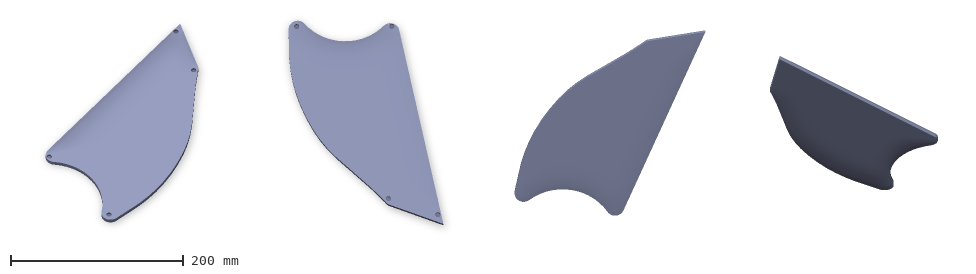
import cadquery as cq
import math

thickness = 5.0
length = 278.2
width = 133.45

round_radius = 10.5
left_round = (round_radius, 36.0)
right_round = (114.5, round_radius)
concave_radius = 62.0

slope_end = (56.0, 242.1)
shoulder_middle = (58.4, 239.9)
shoulder_end = (60.0, 236.9)
shoulder_direction = (1.0, -1.7)

side_points = [
    (71.5, 218.7),
    (89.0, 193.6),
    (113.0, 157.3),
    (128.8, 112.0),
    (width, 73.0),
    (131.2, 41.0),
]
side_end_angle = -10.0

hole_diameter = 6.0
hole_depth = thickness / 2
hole_centers = [(3.9, 265.9), (55.7, 234.7), (7.3, 30.0), (115.0, 7.1)]


def on_circle(center, radius, angle):
    """Point on a circle at an angle in radians from +X."""
    return (center[0] + radius * math.cos(angle), center[1] + radius * math.sin(angle))


def concave_center():
    """Center of the arc that touches both lower rounds from below."""
    dx = right_round[0] - left_round[0]
    dy = right_round[1] - left_round[1]
    half_span = math.hypot(dx, dy) / 2
    reach = concave_radius + round_radius
    drop = math.sqrt(reach**2 - half_span**2)
    middle = (left_round[0] + dx / 2, left_round[1] + dy / 2)
    return on_circle(middle, drop, math.atan2(dy, dx) - math.pi / 2)


def angle_from(center, point):
    """Angle in radians from +X of the direction from center to point."""
    return math.atan2(point[1] - center[1], point[0] - center[0])


def plate():
    """Flat plate with the full outline, without holes."""
    hollow = concave_center()
    left_angle = angle_from(hollow, left_round)
    right_angle = angle_from(hollow, right_round)
    left_joint = on_circle(hollow, concave_radius, left_angle)
    right_joint = on_circle(hollow, concave_radius, right_angle)
    hollow_top = on_circle(hollow, concave_radius, (left_angle + right_angle) / 2)

    end_angle = math.radians(side_end_angle)
    side_end = on_circle(right_round, round_radius, end_angle)
    side_end_direction = (math.sin(end_angle), -math.cos(end_angle))

    left_round_middle = on_circle(left_round, round_radius, math.radians(-135))

    outline = (
        cq.Workplane("XY")
        .moveTo(0, left_round[1])
        .lineTo(0, length)
        .lineTo(*slope_end)
        .threePointArc(shoulder_middle, shoulder_end)
        .spline(
            side_points + [side_end],
            tangents=[shoulder_direction, side_end_direction],
            includeCurrent=True,
        )
        .threePointArc((right_round[0], 0), right_joint)
        .threePointArc(hollow_top, left_joint)
        .threePointArc(left_round_middle, (0, left_round[1]))
        .close()
    )
    return outline.extrude(thickness)


def holes():
    """Material removed by the four blind holes."""
    top_face = cq.Workplane("XY").workplane(offset=thickness)
    return top_face.pushPoints(hole_centers).circle(hole_diameter / 2).extrude(-hole_depth)


result = plate().cut(holes())